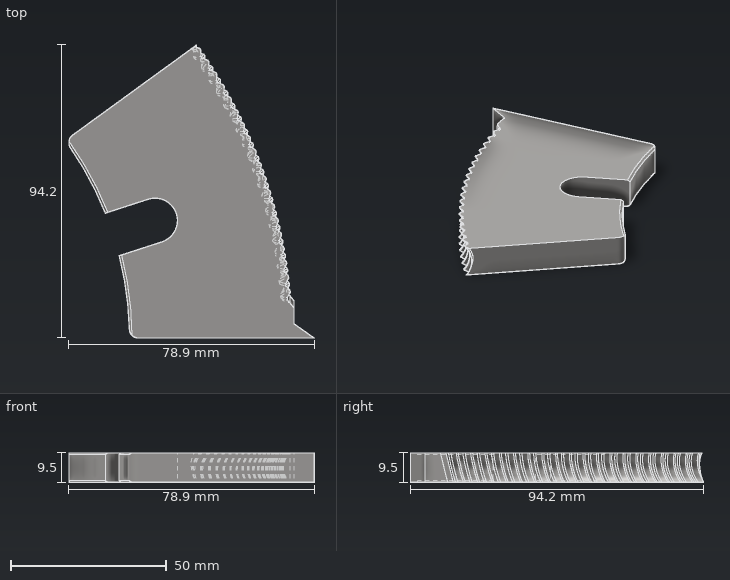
import cadquery as cq
import math

thickness = 9.5
half_thickness = thickness / 2
sector_angle = 36.0

inner_radius = 108.05
corner_radius = 3.0
chamfer_radial = 0.85
chamfer_axial = 0.6

slot_radius = 7.2
slot_center_radius = 122.3

tip_radius = 160.4
tooth_depth = 1.1
root_radius = tip_radius - tooth_depth
throat_sag = 2.1
wheel_teeth = 216
pitch_angle = 360 / wheel_teeth
skew_angle = pitch_angle / 2
tip_half_angle = 0.07 * pitch_angle
base_half_angle = 0.5 * pitch_angle
first_tooth_offset = 0.2
tooth_count = 20
tooth_sections = 5
tooth_overlap = 0.3

stop_point_x = 167.5
stop_wall_x = 161.0
stop_wall_start_y = 4.6
stop_wall_top_y = 9.6
stop_wall_bottom_y = stop_wall_top_y + stop_wall_x * math.radians(skew_angle)
stop_flank_x = 1.4
stop_flank_y = 1.8
stop_root_x = 155.4


def polar(radius, degrees):
    angle = math.radians(degrees)
    return radius * math.cos(angle), radius * math.sin(angle)


def throat_drop(z):
    """Radial drop of the circular throat at height z above mid-thickness."""
    arc_radius = (half_thickness**2 + throat_sag**2) / (2 * throat_sag)
    return math.sqrt(arc_radius**2 - z**2) - (arc_radius - throat_sag)


def make_rim():
    """Segment with chamfered inner edges and a throat at the tooth roots."""
    profile = (
        cq.Workplane("XZ")
        .moveTo(inner_radius + chamfer_radial, -half_thickness)
        .lineTo(root_radius, -half_thickness)
        .threePointArc((root_radius - throat_sag, 0), (root_radius, half_thickness))
        .lineTo(inner_radius + chamfer_radial, half_thickness)
        .lineTo(inner_radius, half_thickness - chamfer_axial)
        .lineTo(inner_radius, chamfer_axial - half_thickness)
        .close()
    )
    return profile.revolve(sector_angle, (0, 0, 0), (0, 1, 0))


def make_sector(outer_radius):
    """Plain segment with rounded inner corners."""
    sector = (
        cq.Workplane("XY", origin=(0, 0, -half_thickness))
        .moveTo(inner_radius, 0)
        .lineTo(outer_radius, 0)
        .threePointArc(polar(outer_radius, sector_angle / 2), polar(outer_radius, sector_angle))
        .lineTo(*polar(inner_radius, sector_angle))
        .threePointArc(polar(inner_radius, sector_angle / 2), (inner_radius, 0))
        .close()
        .extrude(thickness)
    )
    near_start = cq.selectors.NearestToPointSelector((inner_radius, 0, 0))
    near_end = cq.selectors.NearestToPointSelector((*polar(inner_radius, sector_angle), 0))
    sector = sector.edges(near_start).fillet(corner_radius)
    return sector.edges(near_end).fillet(corner_radius)


def make_tooth(mid_angle):
    """Skewed tooth lofted through sections that follow the throat."""
    wires = []
    for i in range(tooth_sections):
        z = -half_thickness + thickness * i / (tooth_sections - 1)
        angle = mid_angle - skew_angle * z / thickness
        drop = throat_drop(z)
        base = root_radius - tooth_overlap - drop
        tip = tip_radius - drop
        corners = [
            polar(base, angle - base_half_angle),
            polar(tip, angle - tip_half_angle),
            polar(tip, angle + tip_half_angle),
            polar(base, angle + base_half_angle),
        ]
        points = [cq.Vector(x, y, z) for x, y in corners]
        wires.append(cq.Wire.makePolygon(points, close=True))
    return cq.Solid.makeLoft(wires)


def make_stop():
    """Pointed stop whose tooth-side flank is skewed like the teeth."""
    wires = []
    for z, wall_y in ((-half_thickness, stop_wall_bottom_y), (half_thickness, stop_wall_top_y)):
        corners = [
            (stop_root_x, 0),
            (stop_point_x, 0),
            (stop_wall_x, stop_wall_start_y),
            (stop_wall_x, wall_y),
            (stop_wall_x - stop_flank_x, wall_y + stop_flank_y),
            (stop_root_x, wall_y + stop_flank_y),
        ]
        points = [cq.Vector(x, y, z) for x, y in corners]
        wires.append(cq.Wire.makePolygon(points, close=True))
    return cq.Workplane(cq.Solid.makeLoft(wires, True))


def make_slot():
    slot = (
        cq.Workplane("XY", origin=(0, 0, -half_thickness))
        .moveTo(slot_center_radius, -slot_radius)
        .threePointArc((slot_center_radius + slot_radius, 0), (slot_center_radius, slot_radius))
        .lineTo(inner_radius - slot_radius, slot_radius)
        .lineTo(inner_radius - slot_radius, -slot_radius)
        .close()
        .extrude(thickness)
    )
    return slot.rotate((0, 0, 0), (0, 0, 1), sector_angle / 2)


first_tooth_angle = sector_angle + first_tooth_offset - skew_angle / 2
teeth = [make_tooth(first_tooth_angle - i * pitch_angle) for i in range(tooth_count)]

toothed_rim = cq.Workplane(make_rim().val().fuse(*teeth))
segment = toothed_rim.intersect(make_sector(tip_radius + tooth_depth))
result = segment.union(make_stop()).cut(make_slot())